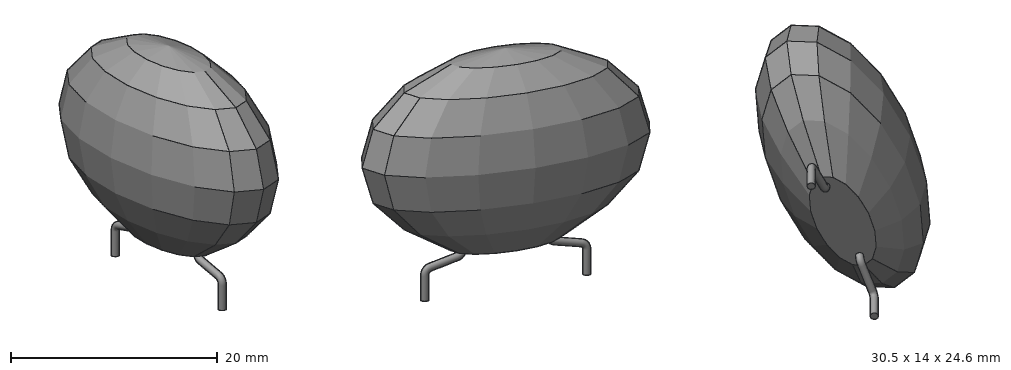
import cadquery as cq
import math

half_length = 15.25
half_depth = 6.98
half_height = 10.0
sectors = 16
bands = 8

wire_diameter = 0.8
lead_drop = 4.65
inner_offset = 4.6
outer_offset = 8.6
bend_radius = 0.73
slope_angle = 12.7

base_z = -half_height


def ring_points(band):
    """Corners of one horizontal ring; the last ring is pulled down to form the flat base."""
    polar = math.pi * band / bands
    z = base_z if band == bands - 1 else half_height * math.cos(polar)
    points = []
    for sector in range(sectors):
        around = 2 * math.pi * sector / sectors
        x = half_length * math.sin(polar) * math.cos(around)
        y = half_depth * math.sin(polar) * math.sin(around)
        points.append(cq.Vector(x, y, z))
    return points


def polygon_face(corners):
    return cq.Face.makeFromWires(cq.Wire.makePolygon(corners, close=True))


def make_body():
    """Closed shell of triangular facets with a fan at the top and one flat polygon as the base."""
    rings = [ring_points(band) for band in range(1, bands)]
    top = cq.Vector(0, 0, half_height)
    faces = [polygon_face(rings[-1])]
    for i in range(sectors):
        j = (i + 1) % sectors
        faces.append(polygon_face([top, rings[0][i], rings[0][j]]))
        for upper, lower in zip(rings, rings[1:]):
            faces.append(polygon_face([upper[i], lower[i], lower[j]]))
            faces.append(polygon_face([upper[i], lower[j], upper[j]]))
    return cq.Solid.makeSolid(cq.Shell.makeShell(faces))


def make_lead(side):
    """Round wire swept down from the base, outward along a slope, then down to the tip."""
    slope = math.radians(slope_angle)
    turn = math.pi / 2 - slope
    bend_run = bend_radius * (1 - math.cos(turn))
    bend_drop = bend_radius * math.sin(turn)
    half_bend_run = bend_radius * (1 - math.cos(turn / 2))
    half_bend_drop = bend_radius * math.sin(turn / 2)
    slope_run = outer_offset - inner_offset - 2 * bend_run
    slope_start_z = base_z - bend_drop
    slope_end_z = slope_start_z - slope_run * math.tan(slope)
    lower_bend_end_z = slope_end_z - bend_drop

    path = (
        cq.Workplane("XZ")
        .moveTo(side * inner_offset, base_z)
        .threePointArc(
            (side * (inner_offset + half_bend_run), base_z - half_bend_drop),
            (side * (inner_offset + bend_run), slope_start_z),
        )
        .lineTo(side * (outer_offset - bend_run), slope_end_z)
        .threePointArc(
            (side * (outer_offset - half_bend_run), lower_bend_end_z + half_bend_drop),
            (side * outer_offset, lower_bend_end_z),
        )
        .lineTo(side * outer_offset, base_z - lead_drop)
    )
    return (
        cq.Workplane("XY", origin=(side * inner_offset, 0, base_z))
        .circle(wire_diameter / 2)
        .sweep(path)
    )


body = make_body()
leads = [make_lead(side) for side in (-1, 1)]

result = cq.Compound.makeCompound([body, *[lead.val() for lead in leads]])